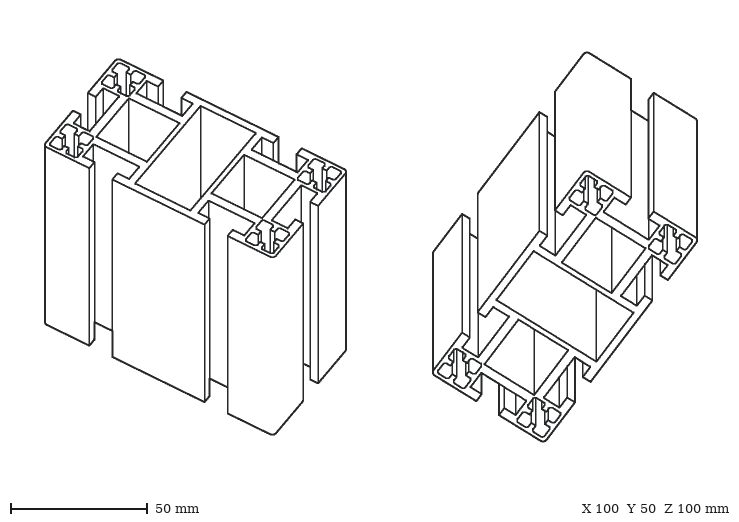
import cadquery as cq

module = 50.0
width = 2 * module
depth = module
length = 100.0
corner_radius = 1.6

mouth_width = 10.0
channel_width = 20.0
lip_thickness = 3.5
slot_depth = 10.5

side_cavity_size = 22.0
centre_cavity_width = 24.0
centre_cavity_depth = 44.2

bore_size = 12.0
bore_offset = 7.5
rib_thickness = 2.0
rib_tip_gap = 6.8
bore_fillet = 1.0

half_width = width / 2
half_depth = depth / 2
slot_x = module / 2
overcut = 1.0


def prism(size_x, size_y, x=0.0, y=0.0):
    """Full-length block centred on (x, y)."""
    return cq.Workplane("XY").center(x, y).rect(size_x, size_y).extrude(length)


def t_slot():
    """T-slot cutter opening toward -Y, with its face plane at Y = 0."""
    mouth = prism(mouth_width, lip_thickness + 2 * overcut, 0, lip_thickness / 2)
    channel_depth = slot_depth - lip_thickness
    channel = prism(channel_width, channel_depth, 0, lip_thickness + channel_depth / 2)
    return mouth.union(channel)


def corner_bore():
    """Ribbed bore cutter centred on the origin; rounded inside corners, sharp rib tips."""
    pocket_size = (bore_size - rib_thickness) / 2
    pocket_offset = (rib_thickness + pocket_size) / 2
    bore = prism(rib_tip_gap, rib_tip_gap)
    for side_x in (-1, 1):
        for side_y in (-1, 1):
            pocket = prism(pocket_size, pocket_size, side_x * pocket_offset, side_y * pocket_offset)
            bore = bore.union(pocket.edges("|Z").fillet(bore_fillet))
    return bore


result = prism(width, depth).edges("|Z").fillet(corner_radius)

for x in (-slot_x, slot_x):
    for angle in (0, 180):
        front_slot = t_slot().translate((x, -half_depth, 0))
        result = result.cut(front_slot.rotate((0, 0, 0), (0, 0, 1), angle))
for angle in (-90, 90):
    end_slot = t_slot().translate((0, -half_width, 0))
    result = result.cut(end_slot.rotate((0, 0, 0), (0, 0, 1), angle))

result = result.cut(prism(centre_cavity_width, centre_cavity_depth))
for x in (-slot_x, slot_x):
    result = result.cut(prism(side_cavity_size, side_cavity_size, x))

for side_x in (-1, 1):
    for side_y in (-1, 1):
        bore_x = side_x * (half_width - bore_offset)
        bore_y = side_y * (half_depth - bore_offset)
        result = result.cut(corner_bore().translate((bore_x, bore_y, 0)))